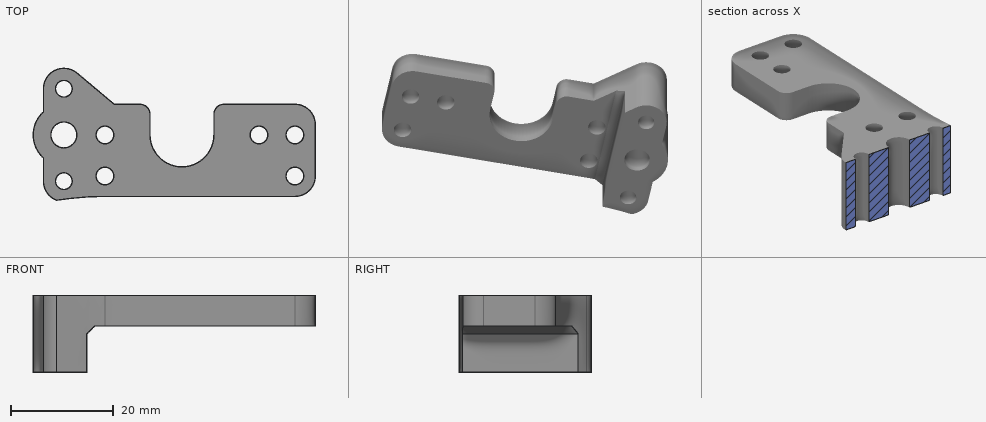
import cadquery as cq
import math


total_height = 15.0
plate_thickness = 6.0
plate_underside = total_height - plate_thickness

plate_end_x = 49.0
plate_back_y = 6.0
plate_front_y = -12.0
corner_radius = 4.0
front_sweep_start_x = 8.0
front_sweep_radius = 60.0

ear_radius = 4.0
ear_spacing = 9.0
brace_angle = math.radians(40)

boss_radius = 6.0

notch_center_x = 23.0
notch_radius = 6.2
notch_mouth_fillet = 2.0

leg_end_x = 4.5
leg_chamfer = 1.5

main_hole_diameter = 5.0
ear_hole_diameter = 3.2
mount_hole_diameter = 3.4
mount_pitch_y = 8.0
left_mount_x = 8.0
inner_right_mount_x = 38.0
outer_right_mount_x = 45.0


def arc_point(center, radius, angle):
    """Point on a circle at an angle in radians."""
    return (center[0] + radius * math.cos(angle), center[1] + radius * math.sin(angle))


def sweep_and_ear_meeting():
    """Point where the front sweep arc runs into the front ear circle."""
    sweep_center = (front_sweep_start_x, plate_front_y - front_sweep_radius)
    dx = -sweep_center[0]
    dy = -ear_spacing - sweep_center[1]
    distance = math.hypot(dx, dy)
    cosine = (distance**2 + front_sweep_radius**2 - ear_radius**2) / (2 * distance * front_sweep_radius)
    angle = math.atan2(dy, dx) + math.acos(cosine)
    return arc_point(sweep_center, front_sweep_radius, angle)


def body_outline():
    """Wire outline of the plate and ears, without the boss and the notch."""
    back_ear = (0, ear_spacing)
    front_ear = (0, -ear_spacing)
    brace_normal = math.pi / 2 - brace_angle
    brace_start = arc_point(back_ear, ear_radius, brace_normal)
    ear_arc_middle = arc_point(back_ear, ear_radius, (brace_normal + math.pi) / 2)
    brace_end_x = brace_start[0] + (brace_start[1] - plate_back_y) / math.tan(brace_angle)

    ear_tip = sweep_and_ear_meeting()
    ear_tip_angle = math.atan2(ear_tip[1] - front_ear[1], ear_tip[0]) % math.tau
    front_ear_middle = arc_point(front_ear, ear_radius, (ear_tip_angle + math.pi) / 2)
    sweep_middle_x = (front_sweep_start_x + ear_tip[0]) / 2
    sweep_middle_drop = front_sweep_radius - math.sqrt(
        front_sweep_radius**2 - (front_sweep_start_x - sweep_middle_x) ** 2
    )
    sweep_middle = (sweep_middle_x, plate_front_y - sweep_middle_drop)

    return (
        cq.Workplane("XY")
        .moveTo(-ear_radius, -ear_spacing)
        .lineTo(-ear_radius, ear_spacing)
        .threePointArc(ear_arc_middle, brace_start)
        .lineTo(brace_end_x, plate_back_y)
        .lineTo(plate_end_x - corner_radius, plate_back_y)
        .radiusArc((plate_end_x, plate_back_y - corner_radius), corner_radius)
        .lineTo(plate_end_x, plate_front_y + corner_radius)
        .radiusArc((plate_end_x - corner_radius, plate_front_y), corner_radius)
        .lineTo(front_sweep_start_x, plate_front_y)
        .threePointArc(sweep_middle, ear_tip)
        .threePointArc(front_ear_middle, (-ear_radius, -ear_spacing))
        .close()
    )


def space_under_plate():
    """Volume to remove under the plate, leaving the leg with a chamfered inner corner."""
    margin = 1.0
    half_width = ear_spacing + ear_radius + margin
    return (
        cq.Workplane("XZ")
        .moveTo(leg_end_x, -margin)
        .lineTo(leg_end_x, plate_underside - leg_chamfer)
        .lineTo(leg_end_x + leg_chamfer, plate_underside)
        .lineTo(plate_end_x + margin, plate_underside)
        .lineTo(plate_end_x + margin, -margin)
        .close()
        .extrude(half_width, both=True)
    )


def notch():
    """Round-bottomed notch with rounded mouth corners, open at the back edge."""
    left = notch_center_x - notch_radius
    right = notch_center_x + notch_radius
    mouth_start_y = plate_back_y - notch_mouth_fillet
    return (
        cq.Workplane("XY")
        .moveTo(left, 0)
        .lineTo(left, mouth_start_y)
        .radiusArc((left - notch_mouth_fillet, plate_back_y), -notch_mouth_fillet)
        .lineTo(right + notch_mouth_fillet, plate_back_y)
        .radiusArc((right, mouth_start_y), -notch_mouth_fillet)
        .lineTo(right, 0)
        .threePointArc((notch_center_x, -notch_radius), (left, 0))
        .close()
        .extrude(total_height)
    )


def holes(centers, diameter):
    """Vertical through holes."""
    return cq.Workplane("XY").pushPoints(centers).circle(diameter / 2).extrude(total_height)


ear_centers = [(0, ear_spacing), (0, -ear_spacing)]
mount_centers = [
    (left_mount_x, 0),
    (left_mount_x, -mount_pitch_y),
    (inner_right_mount_x, 0),
    (outer_right_mount_x, 0),
    (outer_right_mount_x, -mount_pitch_y),
]

boss = cq.Workplane("XY").circle(boss_radius).extrude(total_height)

result = (
    body_outline()
    .extrude(total_height)
    .union(boss)
    .cut(space_under_plate())
    .cut(notch())
    .cut(holes([(0, 0)], main_hole_diameter))
    .cut(holes(ear_centers, ear_hole_diameter))
    .cut(holes(mount_centers, mount_hole_diameter))
)